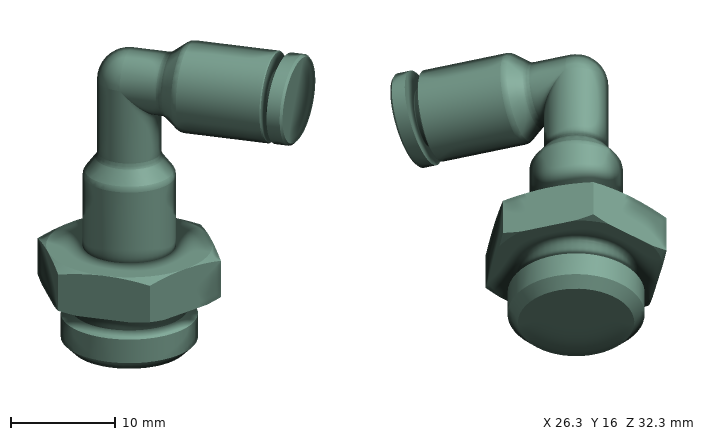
import cadquery as cq
import math

total_height = 32.3
total_length = 26.32

across_flats = 16.0
hex_bottom = 6.0
hex_top = 10.53
hex_corner_radius = across_flats / math.sqrt(3)
chamfer_slope = math.tan(math.radians(20))
top_chamfer_radius = across_flats / 2
bottom_chamfer_radius = 8.45

plug_radius = 6.6
plug_chamfer = 1.0
plug_top = 3.45
neck_radius = 5.62
neck_bottom = 4.0
neck_fillet = 0.42

pipe_radius = 3.1
socket_radius = 4.5
cone_length = 1.85
cone_fillet = 0.9
axis_height = total_height - socket_radius
stem_cone_start = 7.8
branch_cone_start = 3.97
branch_end = 14.63
branch_end_chamfer = 0.1

collar_end = total_length - hex_corner_radius
collar_thickness = 1.55
collar_half_width = 5.4
collar_half_height = 4.25
collar_chamfer = 0.23
collar_neck_radius = 2.75
collar_neck_fillet = 0.1


def make_hexagon():
    """Hexagonal prism with its corners cut back by a shallow cone at each end."""
    prism = (
        cq.Workplane("XY", origin=(0, 0, hex_bottom))
        .polygon(6, 2 * hex_corner_radius)
        .extrude(hex_top - hex_bottom)
    )
    top_drop = (hex_corner_radius - top_chamfer_radius) * chamfer_slope
    bottom_drop = (hex_corner_radius - bottom_chamfer_radius) * chamfer_slope
    envelope = (
        cq.Workplane("XZ")
        .moveTo(0, hex_bottom)
        .lineTo(bottom_chamfer_radius, hex_bottom)
        .lineTo(hex_corner_radius, hex_bottom + bottom_drop)
        .lineTo(hex_corner_radius, hex_top - top_drop)
        .lineTo(top_chamfer_radius, hex_top)
        .lineTo(0, hex_top)
        .close()
        .revolve(360, (0, 0), (0, 1))
    )
    return prism.intersect(envelope)


def make_plug():
    """Chamfered plug with a narrower neck that is filleted into the hexagon."""
    fillet_mid = neck_fillet * (1 - math.sqrt(0.5))
    return (
        cq.Workplane("XZ")
        .lineTo(plug_radius - plug_chamfer, 0)
        .lineTo(plug_radius, plug_chamfer)
        .lineTo(plug_radius, plug_top)
        .lineTo(neck_radius, neck_bottom)
        .lineTo(neck_radius, hex_bottom - neck_fillet)
        .threePointArc(
            (neck_radius + fillet_mid, hex_bottom - fillet_mid),
            (neck_radius + neck_fillet, hex_bottom),
        )
        .lineTo(0, hex_bottom)
        .close()
        .revolve(360, (0, 0), (0, 1))
    )


def make_arm(cone_start, length):
    """Upright pipe from the origin, widening through a filleted cone into a socket."""
    cone_end = cone_start + cone_length
    arm = (
        cq.Workplane("XZ")
        .lineTo(pipe_radius, 0)
        .lineTo(pipe_radius, cone_start)
        .lineTo(socket_radius, cone_end)
        .lineTo(socket_radius, length)
        .lineTo(0, length)
        .close()
        .revolve(360, (0, 0), (0, 1))
    )
    cone_rims = cq.selectors.BoxSelector(
        (-socket_radius, -socket_radius, cone_start - cone_fillet),
        (socket_radius, socket_radius, cone_end + cone_fillet),
    )
    return arm.edges("%CIRCLE").edges(cone_rims).fillet(cone_fillet)


def make_collar():
    """Oval collar with a chamfered outer face, carried on a short round neck."""
    collar_start = collar_end - collar_thickness
    neck = (
        cq.Workplane("YZ", origin=(branch_end, 0, axis_height))
        .circle(collar_neck_radius)
        .extrude(collar_start - branch_end)
    )
    collar = (
        cq.Workplane("YZ", origin=(collar_start, 0, axis_height))
        .ellipse(collar_half_width, collar_half_height)
        .extrude(collar_thickness)
        .faces(">X")
        .chamfer(collar_chamfer)
    )
    return neck.union(collar).edges("%CIRCLE").edges(">X").fillet(collar_neck_fillet)


elbow_centre = (0, 0, axis_height)
stem = (
    make_arm(stem_cone_start, axis_height - hex_top)
    .rotate((0, 0, 0), (1, 0, 0), 180)
    .translate(elbow_centre)
)
branch = (
    make_arm(branch_cone_start, branch_end)
    .faces(">Z")
    .chamfer(branch_end_chamfer)
    .rotate((0, 0, 0), (0, 1, 0), 90)
    .translate(elbow_centre)
)
ball = cq.Workplane("XY").sphere(pipe_radius).translate(elbow_centre)

result = make_plug().union(make_hexagon()).union(stem).union(branch).union(ball).union(make_collar())